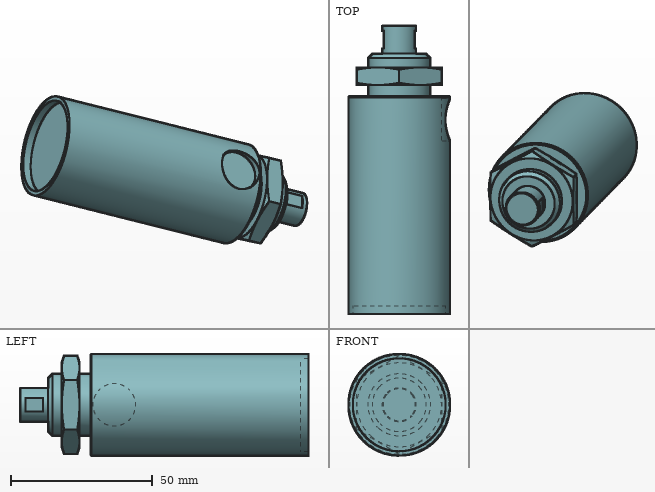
import cadquery as cq
import math

total_length = 102.0

body_diameter = 36.0
body_length = 77.1
body_chamfer = 0.5
recess_diameter = 32.8
recess_depth = 3.0

side_hole_diameter = 15.0
side_hole_depth = 3.1
side_hole_to_body_back = 8.5

neck_diameter = 22.0
neck_chamfer = 1.5

stub_diameter = 12.0
stub_length = 10.0
stub_chamfer = 0.3
flat_spacing = 11.0
flat_length = 6.2
flat_to_tip = 1.9

nut_width_across_flats = 30.1
nut_thickness = 6.3
nut_gap_to_body = 3.8
nut_face_diameter = 29.8
nut_corner_chamfer = 0.8

front_y = -total_length / 2
back_y = total_length / 2
body_back_y = front_y + body_length
neck_back_y = back_y - stub_length


def cylinder(diameter, start_y, end_y):
    """Solid cylinder about the Y axis."""
    plane = cq.Workplane("XZ", origin=(0, start_y, 0))
    return plane.circle(diameter / 2).extrude(start_y - end_y)


def make_body():
    body = cylinder(body_diameter, front_y, body_back_y).faces(">Y").chamfer(body_chamfer)
    body = body.cut(cylinder(recess_diameter, front_y, front_y + recess_depth))
    hole_floor_x = body_diameter / 2 - side_hole_depth
    hole_y = body_back_y - side_hole_to_body_back
    side_hole = (
        cq.Workplane("YZ", origin=(hole_floor_x, hole_y, 0))
        .circle(side_hole_diameter / 2)
        .extrude(side_hole_depth)
    )
    return body.cut(side_hole)


def make_neck():
    return cylinder(neck_diameter, body_back_y, neck_back_y).faces(">Y").chamfer(neck_chamfer)


def make_stub():
    stub = cylinder(stub_diameter, neck_back_y, back_y).faces(">Y").chamfer(stub_chamfer)
    flat_center_y = back_y - flat_to_tip - flat_length / 2
    for side in (-1, 1):
        cutter = cq.Workplane("XY").box(stub_diameter, flat_length, stub_diameter)
        cutter_x = side * (flat_spacing + stub_diameter) / 2
        stub = stub.cut(cutter.translate((cutter_x, flat_center_y, 0)))
    return stub


def make_nut():
    """Hexagon trimmed by a cone at each end, which bevels its corners."""
    start_y = body_back_y + nut_gap_to_body
    end_y = start_y + nut_thickness
    corner_diameter = nut_width_across_flats / math.cos(math.pi / 6)
    hexagon = (
        cq.Workplane("XZ", origin=(0, start_y, 0))
        .polygon(6, corner_diameter)
        .extrude(-nut_thickness)
        .rotate((0, 0, 0), (0, 1, 0), 30)
    )
    corner_radius = corner_diameter / 2
    face_radius = nut_face_diameter / 2
    trim = (
        cq.Workplane("XY")
        .moveTo(0, start_y)
        .lineTo(face_radius, start_y)
        .lineTo(corner_radius, start_y + nut_corner_chamfer)
        .lineTo(corner_radius, end_y - nut_corner_chamfer)
        .lineTo(face_radius, end_y)
        .lineTo(0, end_y)
        .close()
        .revolve(360, (0, 0, 0), (0, 1, 0))
    )
    return hexagon.intersect(trim)


result = make_body().union(make_neck()).union(make_stub()).union(make_nut())